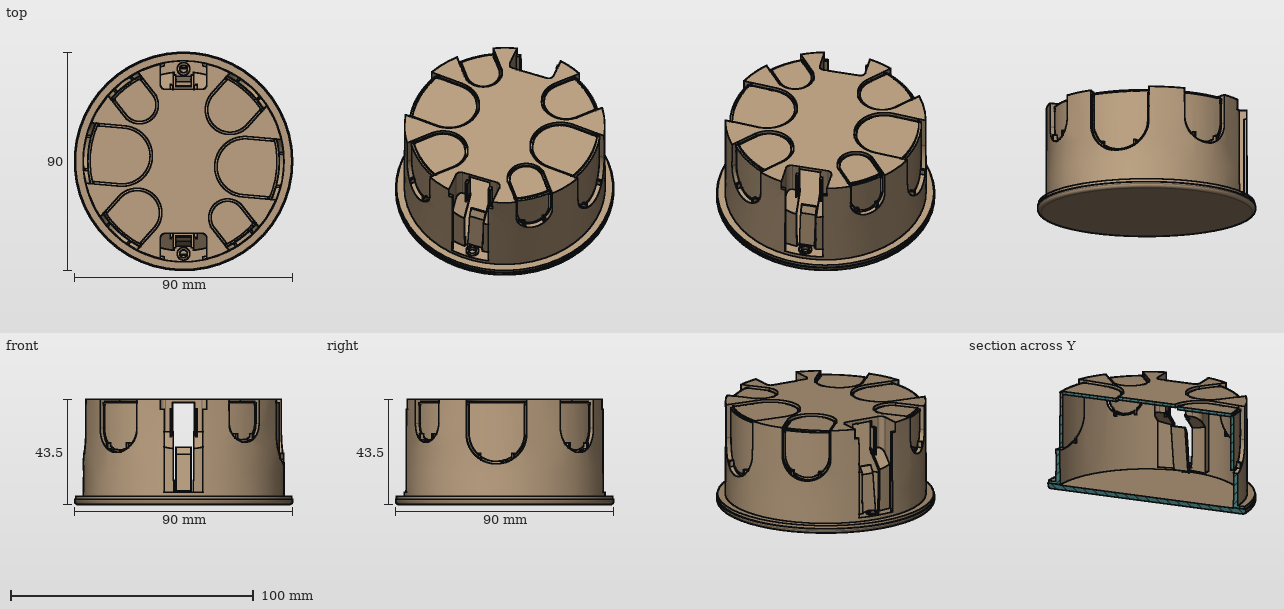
import cadquery as cq
import math


lid_radius = 45.0
lid_thickness = 2.2
lid_edge_fillet = 1.5

total_height = 43.5
wall_radius_top = 41.3
wall_radius_bottom = 41.45
wall_thickness = 2.0
top_thickness = 1.5
flange_radius = 44.6
flange_top = 3.5
bore_radius = wall_radius_top - wall_thickness
bore_top = total_height - top_thickness
beyond = 2 * lid_radius
above_top = total_height + 1.0

small_knockout = dict(half_width=7.8, top_centre=29.5, side_centre=33.5, angles=(128, 308))
medium_knockout = dict(half_width=10.2, top_centre=28.6, side_centre=31.7, angles=(48, 228))
large_knockout = dict(half_width=12.5, top_centre=25.4, side_centre=29.3, angles=(175, 355))
slit_width = 1.0
panel_radius = 39.5
panel_top = 42.7
panel_thickness = 1.5
panel_step_depth = 1.0
panel_step_height = 0.7
panel_inner_radius = panel_radius - panel_thickness
panel_bottom = panel_top - panel_thickness
knockout_start = 28.0
tab_width = 0.8
tab_position = 0.55
tab_overlap = 1.0

pocket_half_width = 9.6
pocket_back = 29.65
pocket_floor = 5.2
pocket_corner_radius = 2.1
liner = 1.1
lip_half_gap = 8.0
lip_inner_radius = 40.15
lip_top = 39.4
pocket_angles = (0, 180)

channel_half_width = 4.2
ledge_radius = 36.9
ledge_top = 30.1
narrow_half_width = 3.9
narrow_top = 10.0

window_half_width = 4.5
tongue_half_width = 3.15
tongue_base = 35.05
tongue_bend = (32.9, 20.7)
tongue_tip = (31.2, 23.7)
tongue_tip_width = 0.5
tongue_thickness = 1.5

rib_outer = 5.55
rib_step = 5.0
rib_depth = 2.15
rib_step_depth = 1.65
rib_top = 39.5

screw_position = 38.1
boss_radius = 2.6
boss_height = 0.5
screw_hole_radius = 1.6
screw_slot_length = 3.0
screw_slot_width = 0.55
screw_slot_position = 38.5
screw_slot_depth = 1.0


def block(x_range, y_range, z_range):
    """Box between the given limits."""
    x0, x1 = x_range
    y0, y1 = y_range
    z0, z1 = z_range
    sides = cq.Workplane("XY").box(x1 - x0, y1 - y0, z1 - z0, centered=False)
    return sides.translate((x0, y0, z0))


def disc(radius, z0, z1):
    """Upright cylinder around the Z axis."""
    return cq.Workplane("XY").workplane(offset=z0).circle(radius).extrude(z1 - z0)


def turned(body, angle):
    """The body turned around the Z axis."""
    return body.rotate((0, 0, 0), (0, 0, 1), angle)


def both_sides(body):
    """The body and its mirror image across the YZ plane."""
    return body.union(body.mirror("YZ"))


def make_shell():
    outline = [
        (0, lid_thickness),
        (flange_radius, lid_thickness),
        (flange_radius, flange_top),
        (wall_radius_bottom, flange_top),
        (wall_radius_top, total_height),
        (0, total_height),
    ]
    return cq.Workplane("XZ").polyline(outline).close().revolve(360, (0, 0, 0), (0, 1, 0))


def ledge_space(side, radius, top):
    """Space under the ledges on both sides: 45-degree top, round front, starting side from the middle."""
    run = top + pocket_back
    wedge = (
        cq.Workplane("YZ")
        .polyline([(0, 0), (run, 0), (0, run)])
        .close()
        .extrude(pocket_half_width + liner)
        .intersect(block((side, beyond), (0, beyond), (0, total_height)))
        .intersect(disc(radius, 0, total_height))
    )
    return both_sides(wedge)


def pocket_box(extra):
    """Pocket space without its ledges, enlarged by extra towards the interior."""
    half_width = pocket_half_width + extra
    return block(
        (-half_width, half_width),
        (pocket_back - extra, beyond),
        (pocket_floor - extra, above_top),
    ).edges("|Z and <Y").fillet(pocket_corner_radius + extra)


def make_pocket_liner():
    """Pocket walls; the ledges are thin and open to the interior from behind."""
    hollow = ledge_space(0, ledge_radius - liner, ledge_top - liner * math.sqrt(2))
    inside_shell = disc(bore_radius + wall_thickness / 2, 0, total_height)
    return pocket_box(liner).cut(hollow).intersect(inside_shell)


def make_pocket_space():
    """Space cut out of the housing, leaving the ledges and the lips at the mouth."""
    ledges = ledge_space(channel_half_width, ledge_radius, ledge_top)
    narrowing = ledge_space(narrow_half_width, ledge_radius, ledge_top)
    narrowing = narrowing.intersect(disc(beyond, 0, narrow_top))
    lips = both_sides(
        block((lip_half_gap, pocket_half_width), (0, beyond), (0, lip_top))
    ).cut(disc(lip_inner_radius, 0, total_height))
    return pocket_box(0).cut(ledges).cut(narrowing).cut(lips)


def make_window():
    """Opening in the back wall, reaching down to the open space behind the ledges."""
    depth = (pocket_back - 2 * liner, pocket_back + liner)
    upper = block((-window_half_width, window_half_width), depth, (ledge_top, bore_top))
    lower = block((-channel_half_width, channel_half_width), depth, (ledge_top - 2 * liner, ledge_top))
    return upper.union(lower)


def make_tongue():
    bend_y, bend_z = tongue_bend
    tip_y, tip_z = tongue_tip
    underside = pocket_floor - liner
    outline = [
        (ledge_radius, underside),
        (ledge_radius, pocket_floor),
        (tongue_base, pocket_floor),
        (bend_y, bend_z),
        (tip_y, tip_z),
        (tip_y - tongue_tip_width, tip_z),
        (tongue_base - tongue_thickness, underside),
    ]
    return cq.Workplane("YZ").polyline(outline).close().extrude(tongue_half_width, both=True)


def make_guide_ribs():
    root = pocket_back - liner / 2
    foot = ledge_top - rib_depth
    outer = block((rib_step, rib_outer), (root, pocket_back + rib_depth), (foot, rib_top))
    inner = block((window_half_width, rib_step), (root, pocket_back + rib_step_depth), (foot, rib_top))
    return both_sides(outer.union(inner))


def make_boss():
    return disc(boss_radius, pocket_floor - liner, pocket_floor + boss_height)


def make_screw_hole():
    return disc(screw_hole_radius, lid_thickness, pocket_floor + boss_height)


def top_outline(half_width, centre, z0, z1):
    """Upright prism with a round inner end, running outwards past the wall."""
    strip = block((centre, beyond), (-half_width, half_width), (z0, z1))
    return strip.union(disc(half_width, z0, z1).translate((centre, 0, 0)))


def side_outline(half_width, centre, z1):
    """Radial prism with a round lower end, running up to z1."""
    strip = block((knockout_start, beyond), (-half_width, half_width), (centre, z1))
    round_end = (
        cq.Workplane("YZ")
        .workplane(offset=knockout_start)
        .center(0, centre)
        .circle(half_width)
        .extrude(beyond - knockout_start)
        .intersect(block((0, beyond), (-beyond, beyond), (0, z1)))
    )
    return strip.union(round_end)


def make_knockout_opening(half_width, top_centre, side_centre):
    top_cut = top_outline(half_width, top_centre, panel_bottom, above_top)
    return top_cut.union(side_outline(half_width, side_centre, above_top))


def make_panel(half_width, top_centre, side_centre):
    """Recessed panel: bent over the rim, full width along the bend, slit elsewhere."""
    skin_outline = [
        (0, panel_bottom),
        (panel_inner_radius, panel_bottom),
        (panel_inner_radius, 0),
        (panel_radius, 0),
        (panel_radius, panel_top - panel_step_height),
        (panel_radius - panel_step_depth, panel_top - panel_step_height),
        (panel_radius - panel_step_depth, panel_top),
        (0, panel_top),
    ]
    skin = cq.Workplane("XZ").polyline(skin_outline).close().revolve(360, (0, 0, 0), (0, 1, 0))
    inset = half_width - slit_width
    top_area = top_outline(inset, top_centre, panel_bottom, total_height)
    side_area = side_outline(inset, side_centre, panel_bottom)
    bend = block((knockout_start, beyond), (-half_width, half_width), (panel_bottom, total_height))
    bend = bend.cut(disc(panel_inner_radius, 0, total_height))
    return skin.intersect(top_area.union(side_area).union(bend))


def make_tabs(half_width, side_centre):
    """Two small bridges from the wall across the slit onto the panel's lower end."""
    offset = tab_position * half_width
    inset = half_width - slit_width
    panel_edge = side_centre - math.sqrt(inset**2 - offset**2)
    wall_edge = side_centre - math.sqrt(half_width**2 - offset**2)
    tab = block(
        (knockout_start, beyond),
        (offset - tab_width / 2, offset + tab_width / 2),
        (wall_edge - tab_overlap, panel_edge + tab_overlap),
    )
    ring = disc(wall_radius_top, 0, total_height).cut(disc(panel_inner_radius, 0, total_height))
    return tab.union(tab.mirror("XZ")).intersect(ring)


housing = make_shell().cut(disc(bore_radius, 0, bore_top))

for angle in pocket_angles:
    housing = housing.union(turned(make_pocket_liner(), angle))
    housing = housing.cut(turned(make_pocket_space(), angle))
    housing = housing.cut(turned(make_window(), angle))
    housing = housing.union(turned(make_tongue(), angle))
    housing = housing.union(turned(make_guide_ribs(), angle))
    housing = housing.union(turned(make_boss().translate((0, screw_position, 0)), angle))
    housing = housing.cut(turned(make_screw_hole().translate((0, screw_position, 0)), angle))

for knockout in (small_knockout, medium_knockout, large_knockout):
    half_width = knockout["half_width"]
    top_centre = knockout["top_centre"]
    side_centre = knockout["side_centre"]
    opening = make_knockout_opening(half_width, top_centre, side_centre)
    panel = make_panel(half_width, top_centre, side_centre)
    panel = panel.union(make_tabs(half_width, side_centre))
    for angle in knockout["angles"]:
        housing = housing.cut(turned(opening, angle)).union(turned(panel, angle))

lid = disc(lid_radius, 0, lid_thickness).faces("<Z").edges().fillet(lid_edge_fillet)
slots = (
    cq.Workplane("XY")
    .workplane(offset=lid_thickness - screw_slot_depth)
    .pushPoints([(0, screw_slot_position), (0, -screw_slot_position)])
    .rect(screw_slot_length, screw_slot_width)
    .extrude(screw_slot_depth)
)
lid = lid.cut(slots)

result = cq.Compound.makeCompound([*housing.vals(), lid.val()])